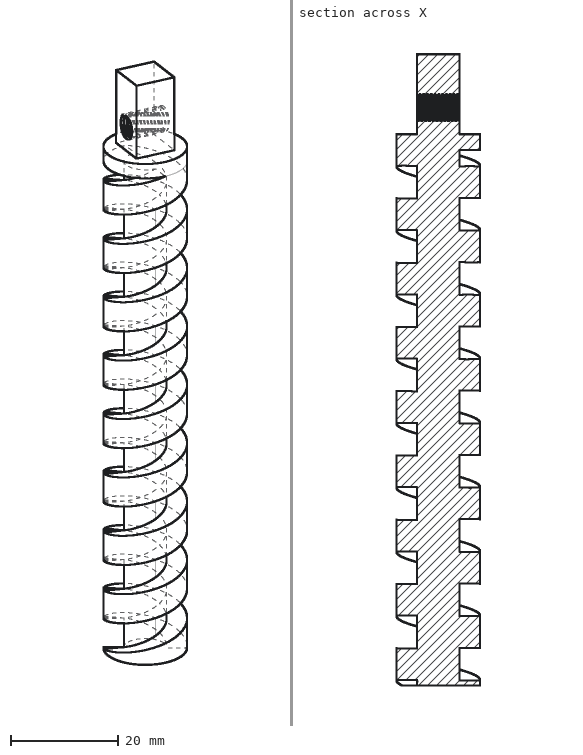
import cadquery as cq
import math

overall_length = 118.0
outer_diameter = 15.7
core_diameter = 8.0
shank_side = 8.0
shank_length = 15.0
collar_thickness = 3.0
screw_turns = 8 + 1 / 3
flight_share_of_pitch = 0.5

hole_diameter = 4.0
hole_above_collar = 5.0
thread_pitch = 0.7
thread_depth = 0.5
thread_mouth_width = 0.6
thread_root_width = 0.1
thread_turns = 15
thread_start_angle = 150

collar_top = overall_length - shank_length
screw_length = collar_top - collar_thickness
pitch = screw_length / screw_turns
flight_width = pitch * flight_share_of_pitch
outer_radius = outer_diameter / 2
core_radius = core_diameter / 2
hole_radius = hole_diameter / 2


def helical_bar(inner_radius, outer_radius, inner_width, outer_width, pitch, turns):
    """Right-handed helical bar of trapezoid section, starting on +X centred on z = 0.

    It has a whole number of turns, so both end faces lie in the XZ plane.
    """
    height = pitch * turns
    corners = [
        (inner_radius, -inner_width / 2),
        (outer_radius, -outer_width / 2),
        (outer_radius, outer_width / 2),
        (inner_radius, inner_width / 2),
    ]
    edges = [cq.Wire.makeHelix(pitch, height, radius).translate(cq.Vector(0, 0, z)) for radius, z in corners]
    faces = []
    for edge, next_edge in zip(edges, edges[1:] + edges[:1]):
        faces += cq.Face.makeRuledSurface(edge, next_edge).Faces()
    for end_z in (0, height):
        section = [cq.Vector(radius, 0, z + end_z) for radius, z in corners]
        faces.append(cq.Face.makeFromWires(cq.Wire.makePolygon(section, close=True)))
    return cq.Workplane(obj=cq.Solid.makeSolid(cq.Shell.makeShell(faces)))


def make_flight():
    """Flight whose lower edge meets the collar underside at -X."""
    flight_turns = math.ceil(screw_turns)
    start_z = screw_length - flight_turns * pitch + flight_width / 2
    flight = helical_bar(core_radius, outer_radius, flight_width, flight_width, pitch, flight_turns)
    flight = flight.rotate((0, 0, 0), (0, 0, 1), 180).translate((0, 0, start_z))
    envelope_side = 2 * outer_diameter
    envelope = cq.Workplane("XY").rect(envelope_side, envelope_side).extrude(screw_length)
    return flight.intersect(envelope)


def make_shank():
    """Square drive shank with a threaded cross hole along Y."""
    hole_z = collar_top + hole_above_collar
    shank = (
        cq.Workplane("XY", origin=(0, 0, collar_top))
        .rect(shank_side, shank_side)
        .extrude(shank_length)
    )
    bore = cq.Workplane("XZ", origin=(0, 0, hole_z)).circle(hole_radius).extrude(shank_side, both=True)
    thread_groove = (
        helical_bar(
            hole_radius,
            hole_radius + thread_depth,
            thread_mouth_width,
            thread_root_width,
            thread_pitch,
            thread_turns,
        )
        .translate((0, 0, -thread_pitch * thread_turns / 2))
        .rotate((0, 0, 0), (0, 0, 1), -thread_start_angle)
        .rotate((0, 0, 0), (1, 0, 0), 90)
        .translate((0, 0, hole_z))
    )
    return shank.cut(bore).cut(thread_groove)


core = cq.Workplane("XY").circle(core_radius).extrude(collar_top)
collar = (
    cq.Workplane("XY", origin=(0, 0, screw_length))
    .circle(outer_radius)
    .extrude(collar_thickness)
)

result = core.union(make_flight()).union(collar).union(make_shank())